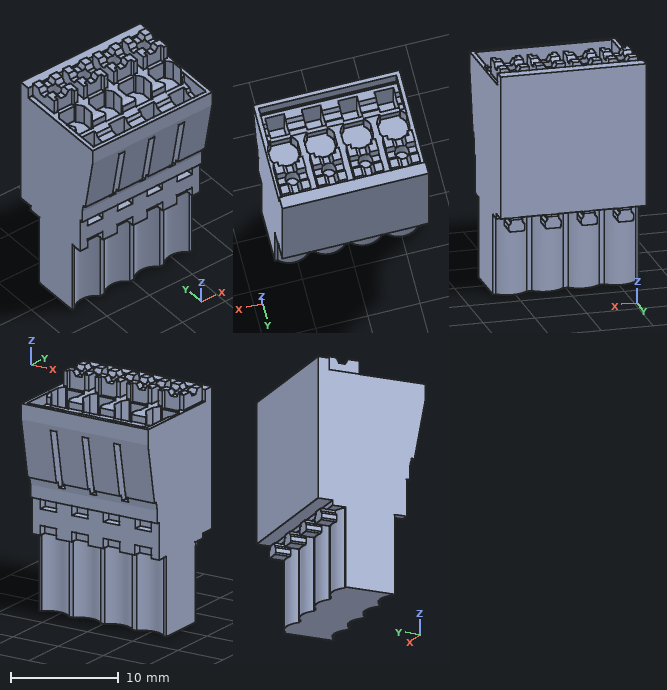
import cadquery as cq
import math


POLES = 4
PITCH = 3.5
TOTAL_HEIGHT = 22.7
WIDTH = 14.05
DEPTH = 10.95

BACK_RIM_HEIGHT = 22.35
BACK_RIM_FRONT = 9.78
TOP = 21.2
SLOPE_TOP = 19.65
SLOPE_BOTTOM = 13.67
SLOPE_BOTTOM_Y = 1.11
LIP_Y = 1.4
BAND_Y = 1.6
BAND_TOP = 12.8
BAND_BOTTOM = 11.55
SKIRT_Y = 1.9
SKIRT_BOTTOM = 7.88
BACK_STEP_Y = 9.45
BACK_STEP_Z = 8.38

PLUG_FRONT = 3.13
PLUG_BACK = 8.13
SCALLOP_WIDTH = 3.02
SCALLOP_DEPTH = 0.68
LOBE_BULGE = 0.6

TAB_BACK = 10.12
TAB_HALF_NECK = 0.55
TAB_HALF_WIDTH = 0.77
TAB_HALF_FOOT = 0.65
TAB_NECK_Z = 7.63
TAB_WIDE_TOP = 7.35
TAB_WIDE_BOTTOM = 6.88
TAB_BOTTOM = 6.72

GROOVE_WIDTH = 0.68
GROOVE_TOP = 19.11
GROOVE_BACK = 2.18
GROOVE_BOTTOM = 13.1
WINDOW_WIDTH = 1.77
WINDOW_BOTTOM = 10.49
WINDOW_DEPTH = 0.89
NOTCH_WIDTH = 1.82
NOTCH_DEPTH = 0.82
NOTCH_TOP = 8.88

WALL = 0.43
TROUGH_BACK = 3.7
SLAB_TOP_Z = 20.2
STEP_BACK_Y = 2.9
STEP_FRONT_Y = 2.7
STEP_DROP = 0.36
RIDGE_BACK_Y = 2.0
RIDGE_FRONT_Y = 1.65
SLAB_FRONT_Y = 0.65
GAP_FLOOR_Z = 19.52
ROUND_START_Y = 4.31
ROUND_DROP = 0.32

TEST_WIDTH = 1.82
TEST_FRONT = 1.07
TEST_BACK = 3.22
TEST_FLOOR_Z = 15.9

TOP_SHIFT = 0.11
WIRE_Y = 5.06
WIRE_RADIUS = 1.55
WIRE_WIDTH = 2.88
WIRE_LENGTH = 2.88
WIRE_KEY_WIDTH = 1.95
WIRE_FLOOR_Z = 19.11

BUTTON_WIDTH = 2.8
BUTTON_BACK = 9.72
BUTTON_FRONT = WIRE_Y + WIRE_LENGTH / 2
BUTTON_BOTTOM = 15.9
BUTTON_RELIEF = 0.4
TONGUE_TOP = 20.88
CROSS_Y = 8.26
CROSS_DEPTH = 0.5
CROSS_TOP_WIDTH = 1.2
CROSS_FLOOR_WIDTH = 0.6
DIMPLE_RADIUS = 0.65
DIMPLE_FLOOR_Z = 20.43

POLE_X = [(i - (POLES - 1) / 2) * PITCH for i in range(POLES)]
POLE_GAP_X = [x + PITCH / 2 for x in POLE_X[:-1]]
TOP_X = [x + TOP_SHIFT for x in POLE_X]
RELIEF_BACK = BUTTON_FRONT + BUTTON_RELIEF
FRONT_TILT = SLOPE_BOTTOM_Y / (SLOPE_TOP - SLOPE_BOTTOM)


def block(x_center, width, y0, y1, z0, z1):
    """Box centred on x_center, between two Y planes and two Z planes."""
    return cq.Workplane("XY").box(width, y1 - y0, z1 - z0, centered=(True, False, False)).translate(
        (x_center, y0, z0)
    )


def extrude_along_x(outline, width):
    """Extrude a closed (Y, Z) outline symmetrically about X = 0."""
    return outline.close().extrude(width / 2, both=True)


def housing_shell():
    outline = cq.Workplane("YZ").polyline(
        [
            (DEPTH, BACK_RIM_HEIGHT),
            (BACK_RIM_FRONT, BACK_RIM_HEIGHT),
            (BACK_RIM_FRONT, TOP),
            (0, TOP),
            (0, SLOPE_TOP),
            (SLOPE_BOTTOM_Y, SLOPE_BOTTOM),
            (LIP_Y, SLOPE_BOTTOM),
            (BAND_Y, BAND_TOP),
            (BAND_Y, BAND_BOTTOM),
            (SKIRT_Y, BAND_BOTTOM),
            (SKIRT_Y, SKIRT_BOTTOM),
            (PLUG_FRONT, SKIRT_BOTTOM),
            (PLUG_FRONT, 0),
            (PLUG_BACK, 0),
            (PLUG_BACK, SKIRT_BOTTOM),
            (BACK_STEP_Y, SKIRT_BOTTOM),
            (BACK_STEP_Y, BACK_STEP_Z),
            (DEPTH, BACK_STEP_Z),
        ]
    )
    return extrude_along_x(outline, WIDTH)


def plug_arc_segment(x_center, y, bulge):
    """Upright circular segment standing on the plane at y and bulging towards +Y."""
    half = SCALLOP_WIDTH / 2
    return (
        cq.Workplane("XY")
        .moveTo(x_center - half, y)
        .threePointArc((x_center, y + bulge), (x_center + half, y))
        .close()
        .extrude(SKIRT_BOTTOM)
    )


def coding_tab(x_center):
    half_outline = [
        (TAB_HALF_NECK, SKIRT_BOTTOM),
        (TAB_HALF_NECK, TAB_NECK_Z),
        (TAB_HALF_WIDTH, TAB_WIDE_TOP),
        (TAB_HALF_WIDTH, TAB_WIDE_BOTTOM),
        (TAB_HALF_FOOT, TAB_BOTTOM),
    ]
    mirrored = [(-x, z) for x, z in reversed(half_outline)]
    return (
        cq.Workplane("XZ", origin=(x_center, PLUG_BACK, 0))
        .polyline(half_outline + mirrored)
        .close()
        .extrude(PLUG_BACK - TAB_BACK)
    )


def trough():
    """Space behind the front wall, down to the tilted, stepped floor."""
    run = ROUND_START_Y - TROUGH_BACK
    radius = (run**2 + ROUND_DROP**2) / (2 * ROUND_DROP)
    half_angle = math.asin(run / radius) / 2
    arc_middle = (
        ROUND_START_Y - radius * math.sin(half_angle),
        TOP - radius * (1 - math.cos(half_angle)),
    )
    step_back_z = SLAB_TOP_Z - FRONT_TILT * (TROUGH_BACK - STEP_BACK_Y)
    step_front_z = step_back_z - STEP_DROP
    ridge_back_z = step_front_z - FRONT_TILT * (STEP_FRONT_Y - RIDGE_BACK_Y)
    ridge_front_z = ridge_back_z + RIDGE_BACK_Y - RIDGE_FRONT_Y
    slab_front_z = ridge_front_z - FRONT_TILT * (RIDGE_FRONT_Y - SLAB_FRONT_Y)
    outline = (
        cq.Workplane("YZ")
        .moveTo(ROUND_START_Y, TOP)
        .threePointArc(arc_middle, (TROUGH_BACK, TOP - ROUND_DROP))
        .lineTo(TROUGH_BACK, SLAB_TOP_Z)
        .lineTo(STEP_BACK_Y, step_back_z)
        .lineTo(STEP_FRONT_Y, step_front_z)
        .lineTo(RIDGE_BACK_Y, ridge_back_z)
        .lineTo(RIDGE_FRONT_Y, ridge_front_z)
        .lineTo(SLAB_FRONT_Y, slab_front_z)
        .lineTo(SLAB_FRONT_Y, GAP_FLOOR_Z)
        .lineTo(WALL, GAP_FLOOR_Z)
        .lineTo(WALL, TOP)
    )
    return extrude_along_x(outline, WIDTH - 2 * WALL)


def wire_entry(x_center):
    """Round funnel flattened at its sides, with a rectangular key across it."""
    half_length = WIRE_LENGTH / 2
    y0 = WIRE_Y - half_length
    y1 = WIRE_Y + half_length
    barrel = (
        cq.Workplane("XY", origin=(x_center, WIRE_Y, WIRE_FLOOR_Z))
        .circle(WIRE_RADIUS)
        .extrude(TOP - WIRE_FLOOR_Z)
        .intersect(block(x_center, WIRE_WIDTH, y0, y1, WIRE_FLOOR_Z, TOP))
    )
    return barrel.union(block(x_center, WIRE_KEY_WIDTH, y0, y1, WIRE_FLOOR_Z, TOP))


def button_blank(x_center, top):
    """Plain button with its front relief; also the shape of the pocket it sits in."""
    body = block(x_center, BUTTON_WIDTH, BUTTON_FRONT, BUTTON_BACK, BUTTON_BOTTOM, top)
    return body.cut(block(x_center, WIRE_KEY_WIDTH, BUTTON_FRONT, RELIEF_BACK, BUTTON_BOTTOM, top))


def make_housing():
    housing = housing_shell()
    for x in POLE_X:
        housing = housing.union(plug_arc_segment(x, PLUG_BACK, LOBE_BULGE))
        housing = housing.union(coding_tab(x))
    for x in POLE_X:
        housing = housing.cut(plug_arc_segment(x, PLUG_FRONT, SCALLOP_DEPTH))
        housing = housing.cut(
            block(x, WINDOW_WIDTH, SKIRT_Y, SKIRT_Y + WINDOW_DEPTH, WINDOW_BOTTOM, BAND_BOTTOM)
        )
        housing = housing.cut(
            block(x, NOTCH_WIDTH, SKIRT_Y, SKIRT_Y + NOTCH_DEPTH, SKIRT_BOTTOM, NOTCH_TOP)
        )
    for x in POLE_GAP_X:
        housing = housing.cut(block(x, GROOVE_WIDTH, 0, GROOVE_BACK, GROOVE_BOTTOM, GROOVE_TOP))
    housing = housing.cut(trough())
    for x in POLE_X:
        housing = housing.cut(block(x, TEST_WIDTH, TEST_FRONT, TEST_BACK, TEST_FLOOR_Z, TOP))
    for x in TOP_X:
        housing = housing.cut(wire_entry(x))
        housing = housing.cut(button_blank(x, TOP))
        housing = housing.cut(block(x, WIRE_KEY_WIDTH, BUTTON_FRONT, RELIEF_BACK, TONGUE_TOP, TOP))
    return housing


def cross_groove(plane, origin, length):
    """Trapezoidal groove in the button top, centred on origin and running along the plane normal."""
    return (
        cq.Workplane(plane, origin=origin)
        .polyline(
            [
                (-CROSS_TOP_WIDTH / 2, 0),
                (-CROSS_FLOOR_WIDTH / 2, -CROSS_DEPTH),
                (CROSS_FLOOR_WIDTH / 2, -CROSS_DEPTH),
                (CROSS_TOP_WIDTH / 2, 0),
            ]
        )
        .close()
        .extrude(length, both=True)
    )


def make_button(x_center):
    cross_center = (x_center, CROSS_Y, TOTAL_HEIGHT)
    dimple = (
        cq.Workplane("XY", origin=(x_center, CROSS_Y, DIMPLE_FLOOR_Z))
        .circle(DIMPLE_RADIUS)
        .extrude(TOTAL_HEIGHT - DIMPLE_FLOOR_Z)
    )
    return (
        button_blank(x_center, TOTAL_HEIGHT)
        .cut(cross_groove("YZ", cross_center, BUTTON_WIDTH))
        .cut(cross_groove("XZ", cross_center, BUTTON_BACK - BUTTON_FRONT))
        .cut(dimple)
    )


housing = make_housing()
buttons = [make_button(x) for x in TOP_X]

result = cq.Compound.makeCompound([housing.val(), *[button.val() for button in buttons]])